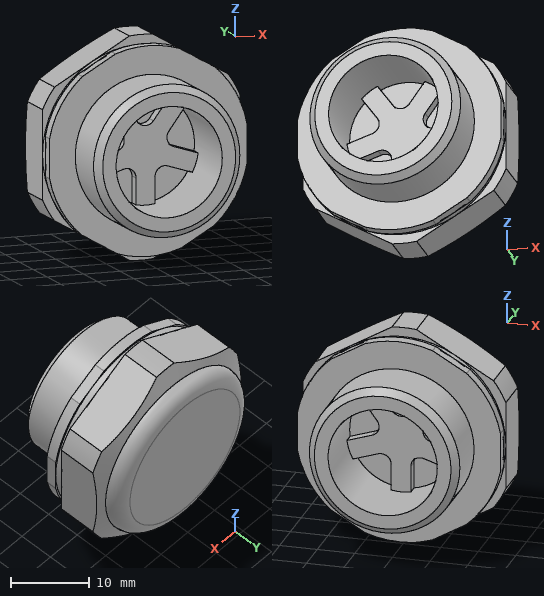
import cadquery as cq
import math

across_flats = 27.0
corner_diameter = 29.5
overall_length = 19.0

spigot_diameter = 20.0
spigot_length = 7.5
spigot_chamfer = 0.9

washer_diameter = 27.5
washer_thickness = 1.53
collar_diameter = across_flats
collar_thickness = 0.97

dome_diameter = 24.95
dome_radius = 2.2
bevel_height = 1.25

bore_diameter = 14.5
rib_depth = 8.5
pocket_depth = 10.0
rib_count = 5
rib_width = 2.6
rib_embed = 0.3
pocket_corner_radius = 1.33

collar_start = spigot_length + washer_thickness
hex_start = collar_start + collar_thickness
dome_start = overall_length - dome_radius
bevel_start = dome_start - bevel_height


def cylinder(diameter, start, end):
    """Solid cylinder on the Y axis between two stations."""
    plane = cq.Plane(origin=(0, start, 0), xDir=(1, 0, 0), normal=(0, 1, 0))
    return cq.Workplane(plane).circle(diameter / 2).extrude(end - start)


def hexagonal_prism(start, end):
    """Hexagonal prism with two flats facing +X and -X."""
    plane = cq.Plane(origin=(0, start, 0), xDir=(1, 0, 0), normal=(0, 1, 0))
    return cq.Workplane(plane).polygon(6, across_flats, circumscribed=True).extrude(end - start)


def spigot():
    blank = cylinder(spigot_diameter, 0, spigot_length)
    return blank.faces("<Y").chamfer(spigot_chamfer)


def washer():
    """Round washer trimmed by the hexagon flats."""
    disc = cylinder(washer_diameter, spigot_length, collar_start)
    return disc.intersect(hexagonal_prism(spigot_length, collar_start))


def head():
    """Hexagon with turned corners, bevelled up to a rounded cap."""
    dome_edge = dome_diameter / 2
    turned = (
        cq.Workplane("XY")
        .moveTo(0, hex_start)
        .lineTo(corner_diameter / 2, hex_start)
        .lineTo(corner_diameter / 2, bevel_start)
        .lineTo(dome_edge, dome_start)
        .radiusArc((dome_edge - dome_radius, overall_length), -dome_radius)
        .lineTo(0, overall_length)
        .close()
        .revolve(360, (0, 0, 0), (0, 1, 0))
    )
    return turned.intersect(hexagonal_prism(hex_start, overall_length))


def wedge():
    """Rounded-tip wedge filling the gap between two ribs, centred on +Z."""
    half_angle = math.pi / rib_count
    apex = rib_width / 2 / math.sin(half_angle)
    reach = bore_diameter
    half_spread = reach * math.tan(half_angle)
    return (
        cq.Workplane("XZ")
        .polyline([(0, apex), (half_spread, apex + reach), (-half_spread, apex + reach)])
        .close()
        .extrude(-pocket_depth)
        .edges("|Y and <Z")
        .fillet(pocket_corner_radius)
    )


def rib_star():
    """Five-armed star of ribs, its arm ends buried in the bore wall."""
    star = cylinder(bore_diameter + 2 * rib_embed, rib_depth, pocket_depth)
    gap = wedge()
    for index in range(rib_count):
        star = star.cut(gap.rotate((0, 0, 0), (0, 1, 0), index * 360 / rib_count))
    return star


collar = cylinder(collar_diameter, collar_start, hex_start)
result = spigot().union(washer()).union(collar).union(head())

result = result.cut(cylinder(bore_diameter, 0, pocket_depth))
result = result.union(rib_star())